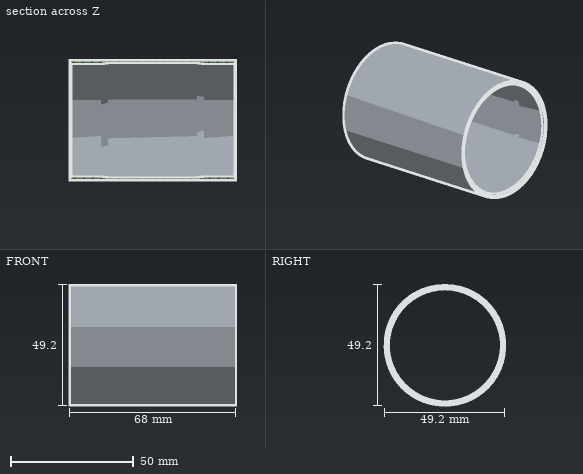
import cadquery as cq

length = 68.0
outer_diameter = 49.21
land_radius = 22.95
relief_radius = 23.35
mouth_chamfer = 0.75

land_depth = 13.0
relief_depth = 15.85

half_length = length / 2
outer_radius = outer_diameter / 2
mouth_radius = land_radius + mouth_chamfer


def bore_half():
    """Bore outline from the -X end face inward, as (x, radius) points."""
    return [
        (-half_length, mouth_radius),
        (-half_length + mouth_chamfer, land_radius),
        (-half_length + land_depth, land_radius),
        (-half_length + relief_depth, relief_radius),
    ]


def mirrored(points):
    """The same outline continued to the +X end."""
    return [(-x, radius) for x, radius in reversed(points)]


def sleeve():
    """Revolve the wall section around the X axis."""
    inner = bore_half()
    outer = [(half_length, outer_radius), (-half_length, outer_radius)]
    section = cq.Workplane("XZ").polyline(inner + mirrored(inner) + outer).close()
    return section.revolve(360, (0, 0, 0), (1, 0, 0))


result = sleeve()